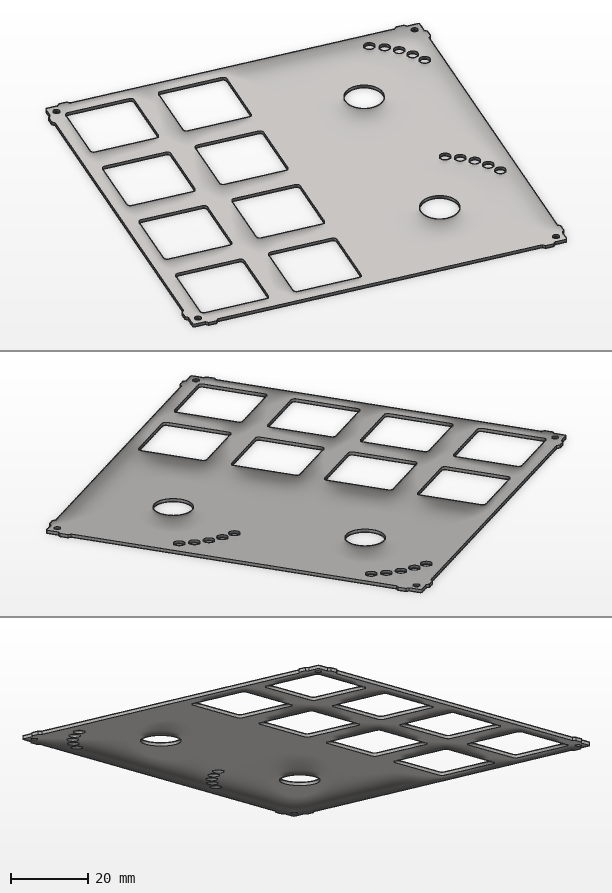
import cadquery as cq
import math

PLATE_SIDE = 104.25
PLATE_CORNER_RADIUS = 0.4
OVERALL_SIDE = 105.6
THICKNESS = 0.91

TAB_HEIGHT = (OVERALL_SIDE - PLATE_SIDE) / 2
TAB_CENTER = 46.95
TAB_TIP_WIDTH = 2.2
TAB_BASE_WIDTH = 3.5

SCREW_DIAMETER = 1.75
SCREW_OFFSET = 49.9

DIAL_DIAMETER = 10.5
DIAL_X = 26.67
DIAL_Y = 26.67
INDICATOR_DIAMETER = 3.0
INDICATOR_RADIUS = 22.86
INDICATOR_COUNT = 5
INDICATOR_FIRST_ANGLE = 115.0
INDICATOR_STEP_ANGLE = 10.0

WINDOW_SIDE = 19.0
WINDOW_CORNER_RADIUS = 1.0
WINDOW_PITCH = 25.85
WINDOW_COLUMNS = 4
WINDOW_ROWS = 2
TOP_ROW_Y = -WINDOW_PITCH / 2


def mirrored_points(x, y):
    """The four points at (+-x, +-y)."""
    return [(sx * x, sy * y) for sx in (-1, 1) for sy in (-1, 1)]


def indicator_points(dial_x):
    """Centres of the indicator holes on the arc around one dial hole."""
    points = []
    for index in range(INDICATOR_COUNT):
        angle = math.radians(INDICATOR_FIRST_ANGLE + index * INDICATOR_STEP_ANGLE)
        x = dial_x + INDICATOR_RADIUS * math.cos(angle)
        y = DIAL_Y + INDICATOR_RADIUS * math.sin(angle)
        points.append((x, y))
    return points


def window_points():
    """Centres of the key windows, columns centred on X = 0."""
    first_x = -(WINDOW_COLUMNS - 1) * WINDOW_PITCH / 2
    return [
        (first_x + column * WINDOW_PITCH, TOP_ROW_Y - row * WINDOW_PITCH)
        for column in range(WINDOW_COLUMNS)
        for row in range(WINDOW_ROWS)
    ]


def edge_tab(center_x):
    """One tab on the +Y edge; it reaches into the plate so the two bodies join."""
    edge_y = PLATE_SIDE / 2
    tip_y = OVERALL_SIDE / 2
    root_y = edge_y - TAB_HEIGHT
    half_base = TAB_BASE_WIDTH / 2
    half_tip = TAB_TIP_WIDTH / 2
    outline = [
        (center_x - half_base, root_y),
        (center_x - half_base, edge_y),
        (center_x - half_tip, tip_y),
        (center_x + half_tip, tip_y),
        (center_x + half_base, edge_y),
        (center_x + half_base, root_y),
    ]
    return cq.Workplane("XY").polyline(outline).close().extrude(THICKNESS)


def tabbed_plate():
    """Square plate with rounded corners and two tabs on each of its four sides."""
    plate = cq.Workplane("XY").rect(PLATE_SIDE, PLATE_SIDE).extrude(THICKNESS)
    plate = plate.edges("|Z").fillet(PLATE_CORNER_RADIUS)
    for side_angle in range(0, 360, 90):
        for center_x in (-TAB_CENTER, TAB_CENTER):
            tab = edge_tab(center_x).rotate((0, 0, 0), (0, 0, 1), side_angle)
            plate = plate.union(tab)
    return plate


def round_cutters(points, diameter):
    """Cylinders through the plate thickness."""
    return cq.Workplane("XY").pushPoints(points).circle(diameter / 2).extrude(THICKNESS)


def window_cutters():
    """Rounded square prisms through the plate thickness."""
    squares = cq.Workplane("XY").pushPoints(window_points()).rect(WINDOW_SIDE, WINDOW_SIDE)
    return squares.extrude(THICKNESS).edges("|Z").fillet(WINDOW_CORNER_RADIUS)


result = tabbed_plate()
result = result.cut(round_cutters(mirrored_points(SCREW_OFFSET, SCREW_OFFSET), SCREW_DIAMETER))
for dial_x in (-DIAL_X, DIAL_X):
    result = result.cut(round_cutters([(dial_x, DIAL_Y)], DIAL_DIAMETER))
    result = result.cut(round_cutters(indicator_points(dial_x), INDICATOR_DIAMETER))
result = result.cut(window_cutters())